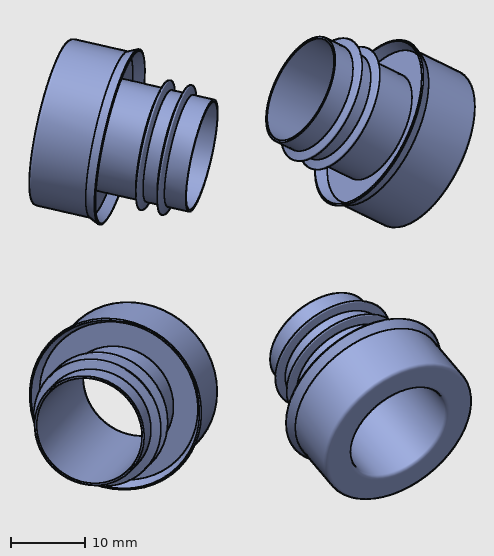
import cadquery as cq
import math

total_length = 21.0
lip_tip_radius = 12.15
bore_radius = 14.9 / 2
neck_radius = 15.5 / 2

head_radius = 23.0 / 2
head_length = 8.07
edge_radius = 0.5

lip_inner_radius = 22.4 / 2
lip_thickness = 0.27
lip_tip_x = 9.45

rib_centres = (14.5, 17.5)
rib_tip_radius = 9.0
rib_base_half_width = 0.5
rib_round_radius = 0.2


def turned(profile):
    """Revolve a closed (x, radius) profile about the X axis."""
    return profile.close().revolve(360, (0, 0, 0), (1, 0, 0))


def make_body():
    """Stepped sleeve with a flared, hollow-backed lip."""
    lip_angle = math.atan2(lip_tip_radius - head_radius, lip_tip_x - head_length)
    lip_end_x = lip_tip_x + lip_thickness * math.sin(lip_angle)
    lip_end_radius = lip_tip_radius - lip_thickness * math.cos(lip_angle)
    head_back_x = lip_end_x - (lip_end_radius - lip_inner_radius) / math.tan(lip_angle)

    round_offset = edge_radius * (1 - math.sqrt(0.5))
    bore_round_middle = (round_offset, bore_radius + round_offset)
    head_round_middle = (round_offset, head_radius - round_offset)

    profile = (
        cq.Workplane("XY")
        .moveTo(total_length, bore_radius)
        .lineTo(edge_radius, bore_radius)
        .threePointArc(bore_round_middle, (0, bore_radius + edge_radius))
        .lineTo(0, head_radius - edge_radius)
        .threePointArc(head_round_middle, (edge_radius, head_radius))
        .lineTo(head_length, head_radius)
        .lineTo(lip_tip_x, lip_tip_radius)
        .lineTo(lip_end_x, lip_end_radius)
        .lineTo(head_back_x, lip_inner_radius)
        .lineTo(head_back_x, neck_radius)
        .lineTo(total_length, neck_radius)
    )
    return turned(profile)


def make_rib(centre_x):
    """Tapered rib with a round crest, rooted inside the sleeve wall."""
    root_radius = (bore_radius + neck_radius) / 2
    crest_start = rib_tip_radius - rib_round_radius
    profile = (
        cq.Workplane("XY")
        .moveTo(centre_x - rib_base_half_width, root_radius)
        .lineTo(centre_x - rib_base_half_width, neck_radius)
        .lineTo(centre_x - rib_round_radius, crest_start)
        .threePointArc((centre_x, rib_tip_radius), (centre_x + rib_round_radius, crest_start))
        .lineTo(centre_x + rib_base_half_width, neck_radius)
        .lineTo(centre_x + rib_base_half_width, root_radius)
    )
    return turned(profile)


result = make_body()
for rib_centre in rib_centres:
    result = result.union(make_rib(rib_centre))